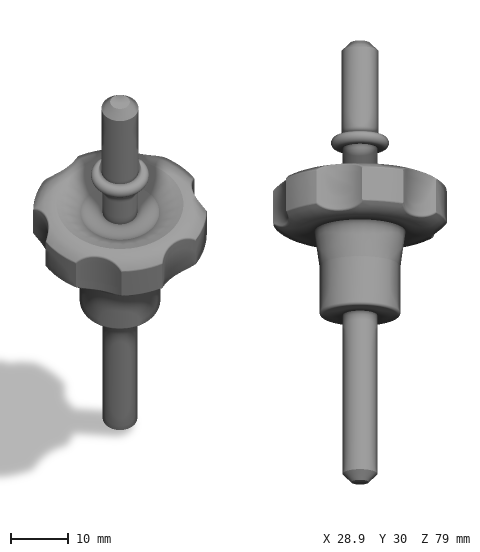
import cadquery as cq
import math

SHAFT_LENGTH = 79.0
ROD_DIAMETER = 6.0
PIN_DIAMETER = 6.4
END_CHAMFER = 1.5

COLLAR_DIAMETER = 10.0
COLLAR_THICKNESS = 2.0
COLLAR_BOTTOM_Z = 60.05

SLEEVE_DIAMETER = 14.0
SLEEVE_BOTTOM_Z = 30.0
SLEEVE_LENGTH = 8.7
SLEEVE_EDGE_RADIUS = 0.5

KNOB_DIAMETER = 30.0
GRIP_HEIGHT = 8.9
GRIP_SIDE_HEIGHT = 6.0
HUB_HEIGHT = 6.3
HUB_TOP_DIAMETER = 15.8
CROWN_DIAMETER = 22.6
CROWN_BULGE = 0.4
CROWN_EDGE_RADIUS = 0.3
RIM_WIDTH = 0.3
DISH_FLOOR_DIAMETER = 13.6
DISH_DEPTH = 2.0

SCALLOP_COUNT = 6
SCALLOP_RADIUS = 6.9
SCALLOP_CENTER_DISTANCE = 20.0

rod_radius = ROD_DIAMETER / 2
shoulder_z = COLLAR_BOTTOM_Z + COLLAR_THICKNESS
hub_bottom_z = SLEEVE_BOTTOM_Z + SLEEVE_LENGTH
grip_bottom_z = hub_bottom_z + HUB_HEIGHT
grip_top_z = grip_bottom_z + GRIP_HEIGHT


def bore(bottom_z, length):
    """Cylinder the size of the rod, to cut its hole through a body."""
    return cq.Workplane("XY").workplane(offset=bottom_z).circle(rod_radius).extrude(length)


def revolve_about_z(profile):
    """Turn a closed radius-height profile around the Z axis."""
    return profile.close().revolve(360, (0, 0, 0), (0, 1, 0))


def make_shaft():
    pin_length = SHAFT_LENGTH - shoulder_z
    rod = cq.Workplane("XY").circle(rod_radius).extrude(shoulder_z)
    pin = cq.Workplane("XY").workplane(offset=shoulder_z).circle(PIN_DIAMETER / 2).extrude(pin_length)
    return rod.union(pin).faces("<Z or >Z").chamfer(END_CHAMFER)


def make_collar():
    rim_radius = COLLAR_DIAMETER / 2
    flat_radius = rim_radius - COLLAR_THICKNESS / 2
    middle_z = COLLAR_BOTTOM_Z + COLLAR_THICKNESS / 2
    profile = (
        cq.Workplane("XZ")
        .moveTo(rod_radius, COLLAR_BOTTOM_Z)
        .lineTo(flat_radius, COLLAR_BOTTOM_Z)
        .threePointArc((rim_radius, middle_z), (flat_radius, shoulder_z))
        .lineTo(rod_radius, shoulder_z)
    )
    return revolve_about_z(profile)


def make_sleeve():
    bush = (
        cq.Workplane("XY")
        .workplane(offset=SLEEVE_BOTTOM_Z)
        .circle(SLEEVE_DIAMETER / 2)
        .extrude(SLEEVE_LENGTH)
        .faces("<Z").edges()
        .fillet(SLEEVE_EDGE_RADIUS)
    )
    return bush.cut(bore(SLEEVE_BOTTOM_Z, SLEEVE_LENGTH))


def make_scallops():
    """Vertical cutters around the grip; the first one is on the X axis."""
    return (
        cq.Workplane("XY")
        .workplane(offset=grip_bottom_z)
        .polarArray(SCALLOP_CENTER_DISTANCE, 0, 360, SCALLOP_COUNT)
        .circle(SCALLOP_RADIUS)
        .extrude(GRIP_HEIGHT)
    )


def round_crown_edges(knob):
    """Round the edges where both crowns meet the grip sides and the scallops."""
    scallop_floor_radius = SCALLOP_CENTER_DISTANCE - SCALLOP_RADIUS
    middle_radius = (scallop_floor_radius + KNOB_DIAMETER / 2) / 2

    def reaches_grip_side(edge):
        reach = max(math.hypot(end.x, end.y) for end in edge.positions([0, 1]))
        return reach > middle_radius

    return knob.edges("not |Z").filter(reaches_grip_side).fillet(CROWN_EDGE_RADIUS)


def make_knob():
    grip_radius = KNOB_DIAMETER / 2
    crown_radius = CROWN_DIAMETER / 2
    crown_height = (GRIP_HEIGHT - GRIP_SIDE_HEIGHT) / 2
    side_bottom_z = grip_bottom_z + crown_height
    side_top_z = grip_top_z - crown_height
    profile = (
        cq.Workplane("XZ")
        .moveTo(0, hub_bottom_z)
        .lineTo(SLEEVE_DIAMETER / 2, hub_bottom_z)
        .lineTo(HUB_TOP_DIAMETER / 2, grip_bottom_z)
        .lineTo(crown_radius, grip_bottom_z)
        .sagittaArc((grip_radius, side_bottom_z), -CROWN_BULGE)
        .lineTo(grip_radius, side_top_z)
        .sagittaArc((crown_radius, grip_top_z), -CROWN_BULGE)
        .lineTo(crown_radius - RIM_WIDTH, grip_top_z)
        .lineTo(DISH_FLOOR_DIAMETER / 2, grip_top_z - DISH_DEPTH)
        .lineTo(0, grip_top_z - DISH_DEPTH)
    )
    knob = revolve_about_z(profile).cut(make_scallops())
    knob = round_crown_edges(knob)
    return knob.cut(bore(hub_bottom_z, HUB_HEIGHT + GRIP_HEIGHT))


shaft = make_shaft()
collar = make_collar()
sleeve = make_sleeve()
knob = make_knob()

result = cq.Compound.makeCompound([shaft.val(), collar.val(), sleeve.val(), knob.val()])